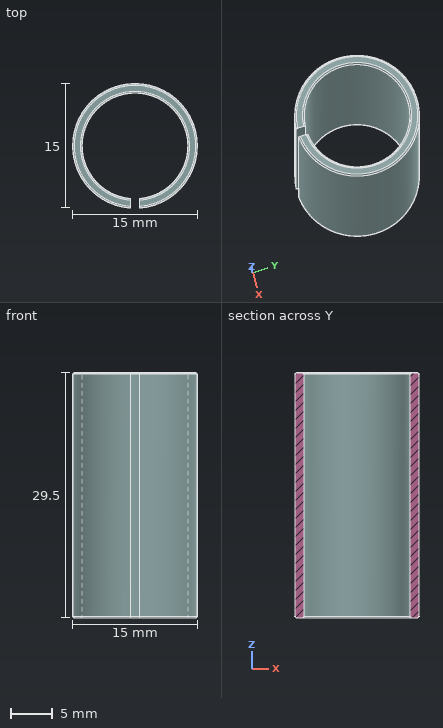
import cadquery as cq

length = 29.5
outer_diameter = 15.0
wall = 1.15
slit_width = 1.05
edge_chamfer = 0.2

outer_radius = outer_diameter / 2
inner_radius = outer_radius - wall


def make_sleeve():
    """Tube with every rim edge chamfered, centred on the origin."""
    base = cq.Workplane("XY").workplane(offset=-length / 2)
    tube = base.circle(outer_radius).circle(inner_radius).extrude(length)
    return tube.edges("%CIRCLE").chamfer(edge_chamfer)


def make_slit():
    """Full-length cutter reaching from the axis out past the -Y wall."""
    cutter = cq.Workplane("XY").box(slit_width, outer_diameter, length)
    return cutter.translate((0, -outer_radius, 0))


result = make_sleeve().cut(make_slit())